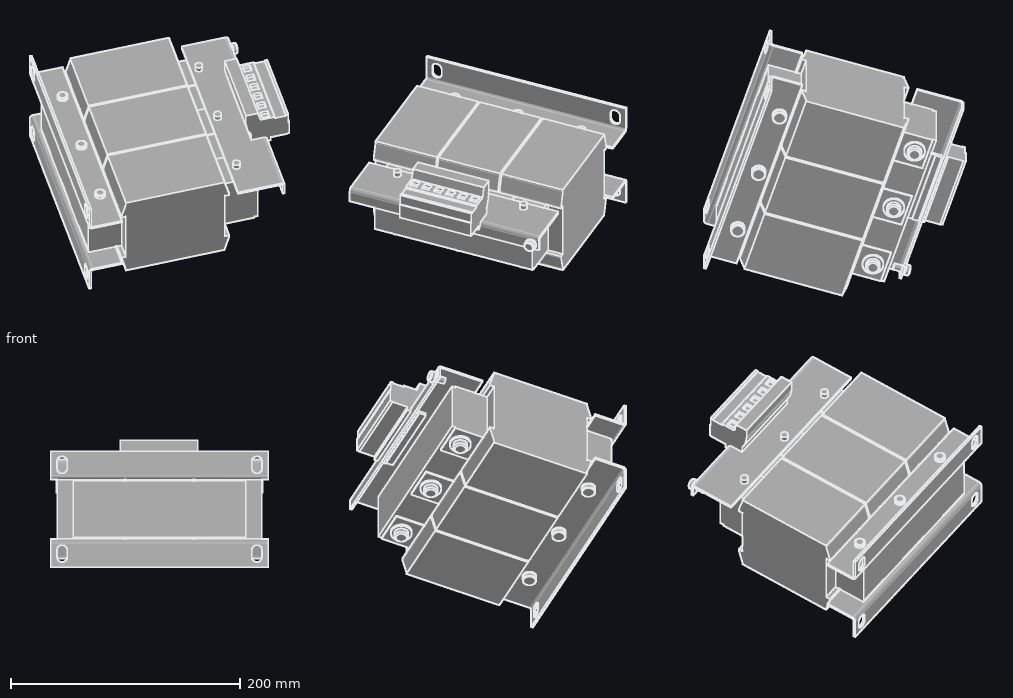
import cadquery as cq


coil_pitch = 60.1
coil_width = 58.5
leg_width = 30.3
core_half_height = 24.7
core_front = 4.8
core_back = 158.7
coil_flat_front = 35.0
coil_flat_back = 124.8
coil_half_height = 43.5
coil_lip = 4.0
lip_slope_top = 41.6
lip_tip_height = 1.5
pad_thickness = 1.2
pad_front = 5.2
pad_back = 155.5

sheet = 2.0
bend_outer_radius = 3.2
seat_height = core_half_height + pad_thickness
sheet_outer_height = seat_height + sheet
bracket_length = 190.0
bracket_depth = 29.9
bracket_half_height = 50.8
slot_pitch = 170.0
slot_width = 9.0
slot_length = 14.7
slot_height = 38.6
plate_length = 180.4
plate_front = 136.4
plate_back = 179.0
plate_flange_bottom = 14.3

front_bolt_y = 20.0
back_bolt_y = 143.5
bolt_radius = 3.2
bolt_tip_length = 4.8
bolt_head_radius = 6.2
bolt_head_height = 5.4
bolt_head_chamfer = 1.4
washer_radius = 9.2
front_washer_radius = 6.2
front_washer_thickness = 1.4
front_head_radius = 6.0
front_head_chamfer = 0.5
front_tip_radius = 4.5
front_tip_length = 3.2
front_tip_chamfer = 1.0

earth_x = -83.0
earth_z = 19.3
earth_washer_radius = 5.0
earth_washer_thickness = 1.4
earth_head_radius = 4.8
earth_head_height = 4.0
earth_head_chamfer = 0.8
earth_shank_radius = 2.8
earth_shank_end = 169.8

terminal_width = 67.7
terminal_x = -0.4
terminal_front = 159.7
terminal_back = 199.1
terminal_top = 60.3
crest_back = 170.6
ledge_height = 51.2
ledge_front = 173.0
ledge_back = 186.0
shelf_height = 49.5
rim_front = 196.0
rim_back = 198.3
rim_height = 50.5
shoulder_height = 40.8
underside_height = 26.0
underside_bevel_rise = 0.8
underside_bevel_run = 2.4
clip_back = 182.4
clip_step = 171.2
clip_bottom = 22.3
foot_front = 164.5
foot_bottom = 23.3
foot_top = 33.8
brow_front = 161.3
brow_bottom = 41.0
brow_top = 49.5
brow_radius = 15.0
pocket_count = 6
pocket_pitch = 11.3
pocket_size = 6.5
pocket_depth = 3.0
pocket_x = -0.2
pocket_y = 178.5

coil_positions = [-coil_pitch, 0, coil_pitch]


def box(x_limits, y_limits, z_limits):
    """Axis-aligned block between the given limits."""
    limits = (x_limits, y_limits, z_limits)
    size = [high - low for low, high in limits]
    corner = [low for low, high in limits]
    return cq.Workplane("XY").box(*size, centered=False).translate(tuple(corner))


def centred_limits(centre, width):
    return (centre - width / 2, centre + width / 2)


def extrude_along_x(outline, centre, width):
    """Extrude a closed (Y, Z) outline along X about a centre."""
    profile = cq.Workplane("YZ").polyline(outline).close()
    return profile.extrude(width / 2, both=True).translate((centre, 0, 0))


def cylinder_z(x, y, z, radius, height):
    return cq.Workplane("XY").circle(radius).extrude(height).translate((x, y, z))


def cylinder_y(y_limits, radius):
    """Cylinder on the earth screw axis."""
    low, high = y_limits
    disc = cq.Workplane("XZ").circle(radius).extrude(low - high)
    return disc.translate((earth_x, low, earth_z))


def make_yokes():
    """Front and back yokes, spanning all three legs."""
    x_limits = centred_limits(0, 2 * coil_pitch + leg_width)
    z_limits = (-core_half_height, core_half_height)
    front_yoke = box(x_limits, (core_front, coil_flat_front), z_limits)
    back_yoke = box(x_limits, (coil_flat_back, core_back), z_limits)
    return front_yoke.union(back_yoke)


def make_leg(x):
    """One core leg with its spacer strips above and below, merged into one block."""
    return box(
        centred_limits(x, leg_width),
        (pad_front, pad_back),
        (-seat_height, seat_height),
    )


def make_coil(x):
    """Coil between the yokes with sloped lips reaching over and under them."""
    lip_front = coil_flat_front - coil_lip
    lip_back = coil_flat_back + coil_lip
    lip_tip_top = seat_height + lip_tip_height
    upper_outline = [
        (coil_flat_front, 0),
        (coil_flat_front, seat_height),
        (lip_front, seat_height),
        (lip_front, lip_tip_top),
        (coil_flat_front, lip_slope_top),
        (coil_flat_front, coil_half_height),
        (coil_flat_back, coil_half_height),
        (coil_flat_back, lip_slope_top),
        (lip_back, lip_tip_top),
        (lip_back, seat_height),
        (coil_flat_back, seat_height),
        (coil_flat_back, 0),
    ]
    upper = extrude_along_x(upper_outline, x, coil_width)
    return upper.union(upper.mirror("XY"))


def make_upper_bracket():
    """Upper front angle with a slotted upright flange."""
    outline = [
        (0, bracket_half_height),
        (0, seat_height),
        (bracket_depth, seat_height),
        (bracket_depth, sheet_outer_height),
        (sheet, sheet_outer_height),
        (sheet, bracket_half_height),
    ]
    bracket = extrude_along_x(outline, 0, bracket_length)
    bracket = bracket.edges("|X").edges("<Y").edges("<Z").fillet(bend_outer_radius)
    inner_bend = cq.selectors.NearestToPointSelector((0, sheet, sheet_outer_height))
    bracket = bracket.edges(inner_bend).fillet(bend_outer_radius - sheet)
    slots = (
        cq.Workplane("XZ")
        .pushPoints([(-slot_pitch / 2, slot_height), (slot_pitch / 2, slot_height)])
        .slot2D(slot_length, slot_width, angle=90)
        .extrude(-sheet)
    )
    return bracket.cut(slots)


def make_plate():
    """Rear terminal plate with its back edge bent down."""
    flange_front = plate_back - sheet
    outline = [
        (plate_front, seat_height),
        (flange_front, seat_height),
        (flange_front, plate_flange_bottom),
        (plate_back, plate_flange_bottom),
        (plate_back, sheet_outer_height),
        (plate_front, sheet_outer_height),
    ]
    plate = extrude_along_x(outline, 0, plate_length)
    plate = plate.edges("|X").edges(">Y").edges(">Z").fillet(bend_outer_radius)
    inner_bend = cq.selectors.NearestToPointSelector((0, flange_front, seat_height))
    return plate.edges(inner_bend).fillet(bend_outer_radius - sheet)


def make_bolt_head(x, y, radius, chamfer):
    head_bottom = -sheet_outer_height - bolt_head_height
    head = cylinder_z(x, y, head_bottom, radius, bolt_head_height)
    return head.faces("<Z").chamfer(chamfer)


def make_front_bolt(x):
    """Head and washer under the lower bracket, collared tip above the upper one."""
    head = make_bolt_head(x, front_bolt_y, front_head_radius, front_head_chamfer)
    washer_bottom = -sheet_outer_height - front_washer_thickness
    washer = cylinder_z(x, front_bolt_y, washer_bottom, front_washer_radius, front_washer_thickness)
    collar = cylinder_z(x, front_bolt_y, sheet_outer_height, front_tip_radius, front_tip_length)
    collar = collar.faces(">Z").chamfer(front_tip_chamfer)
    return head.union(washer).union(collar)


def make_back_bolt(x):
    """Head on a washer under the core, plain tip above the plate."""
    head = make_bolt_head(x, back_bolt_y, bolt_head_radius, bolt_head_chamfer)
    washer = cylinder_z(x, back_bolt_y, -sheet_outer_height, washer_radius, sheet)
    tip = cylinder_z(x, back_bolt_y, sheet_outer_height, bolt_radius, bolt_tip_length)
    return head.union(washer).union(tip)


def make_earth_screw():
    """Screw through the bent edge of the plate."""
    washer_back = plate_back + earth_washer_thickness
    washer = cylinder_y((plate_back, washer_back), earth_washer_radius)
    head = cylinder_y((washer_back, washer_back + earth_head_height), earth_head_radius)
    head = head.faces(">Y").chamfer(earth_head_chamfer)
    shank = cylinder_y((earth_shank_end, plate_back), earth_shank_radius)
    return washer.union(head).union(shank)


def make_terminal_block():
    """Terminal block clipped over the back edge of the plate."""
    outline = [
        (terminal_front, terminal_top),
        (crest_back, terminal_top),
        (ledge_front, ledge_height),
        (ledge_back, ledge_height),
        (ledge_back, shelf_height),
        (rim_front, shelf_height),
        (rim_front, rim_height),
        (rim_back, rim_height),
        (rim_back, shoulder_height),
        (terminal_back, shoulder_height),
        (terminal_back, underside_height + underside_bevel_rise),
        (terminal_back - underside_bevel_run, underside_height),
        (clip_back, underside_height),
        (clip_back, clip_bottom),
        (clip_step, clip_bottom),
        (clip_step, foot_bottom),
        (foot_front, foot_bottom),
        (foot_front, foot_top),
        (brow_front, brow_bottom),
        (terminal_front, brow_top),
    ]
    block = extrude_along_x(outline, terminal_x, terminal_width)
    brow_edge = cq.selectors.NearestToPointSelector((terminal_x, terminal_front, brow_top))
    block = block.edges(brow_edge).fillet(brow_radius)
    pockets = (
        cq.Workplane("XY")
        .rarray(pocket_pitch, 2, pocket_count, 1)
        .rect(pocket_size, pocket_size)
        .extrude(-pocket_depth)
        .translate((pocket_x, pocket_y, ledge_height))
    )
    return block.cut(pockets)


upper_bracket = make_upper_bracket()
lower_bracket = upper_bracket.mirror("XY")

result = make_yokes().union(upper_bracket).union(lower_bracket).union(make_plate())
for coil_x in coil_positions:
    result = result.union(make_leg(coil_x)).union(make_coil(coil_x))
    result = result.union(make_front_bolt(coil_x)).union(make_back_bolt(coil_x))
result = result.union(make_earth_screw()).union(make_terminal_block())